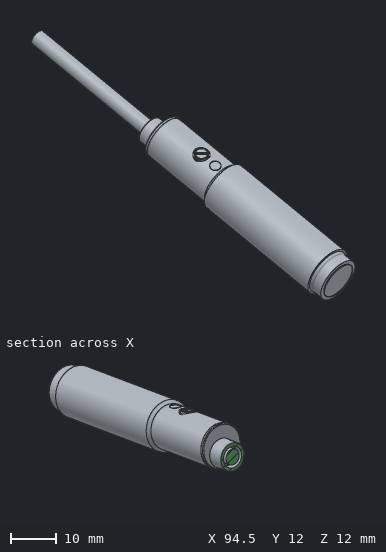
import cadquery as cq

GLAND_START = 35.2
CAP_START = 39.1
CAP_END = 39.85
BODY_END = 57.75
BARREL_START = 58.5
BARREL_END = 91.0
NOSE_START = 91.8
TOTAL_LENGTH = 94.5

CAP_DIAMETER = 10.45
BODY_DIAMETER = 10.5
BARREL_DIAMETER = 12.0
NOSE_DIAMETER = 10.6
BARREL_SHOULDER_DIAMETER = 11.0
CAP_CHAMFER = 0.2
NOSE_DISC_DIAMETER = 8.7
NOSE_DISC_HEIGHT = 0.2

CABLE_DIAMETER = 3.75
CABLE_DROP = 1.5
GLAND_TIP_DIAMETER = 6.6
GLAND_ROOT_DIAMETER = 6.75
GLAND_TIP_FILLET = 0.15
GLAND_BORE_DIAMETER = 4.9
GLAND_BORE_DEPTH = 2.0

SCREW_X = 51.5
SCREW_POCKET_DIAMETER = 3.75
SCREW_POCKET_DEPTH = 0.6
SCREW_POCKET_FLOOR_Z = BODY_DIAMETER / 2 - SCREW_POCKET_DEPTH
SCREW_DIAMETER = 3.0
SCREW_TOP_Z = 5.42
SCREW_CHAMFER = 0.15
SCREW_SLOT_WIDTH = 0.5
SCREW_SLOT_DEPTH = 0.3
SCREW_SLOT_ANGLE = 45.0

WINDOW_X = 55.85
WINDOW_DIAMETER = 2.5
WINDOW_Z = 5.05


def turned_body():
    """Cap, body, barrel, nose and end disc revolved about the X axis."""
    cap_radius = CAP_DIAMETER / 2
    body_radius = BODY_DIAMETER / 2
    barrel_radius = BARREL_DIAMETER / 2
    shoulder_radius = BARREL_SHOULDER_DIAMETER / 2
    nose_radius = NOSE_DIAMETER / 2
    disc_radius = NOSE_DISC_DIAMETER / 2
    nose_rim_x = TOTAL_LENGTH - NOSE_DISC_HEIGHT
    profile = [
        (CAP_START, 0),
        (CAP_START, cap_radius - CAP_CHAMFER),
        (CAP_START + CAP_CHAMFER, cap_radius),
        (CAP_END, cap_radius),
        (CAP_END, body_radius),
        (BODY_END, body_radius),
        (BARREL_START, barrel_radius),
        (BARREL_END, barrel_radius),
        (BARREL_END, shoulder_radius),
        (NOSE_START, nose_radius),
        (nose_rim_x, nose_radius),
        (nose_rim_x, disc_radius),
        (TOTAL_LENGTH, disc_radius),
        (TOTAL_LENGTH, 0),
    ]
    axis_end = (1, 0)
    return cq.Workplane("XY").polyline(profile).close().revolve(360, (0, 0), axis_end)


def cable_plane(x):
    """Plane across the cable axis at station x."""
    return cq.Workplane("YZ", origin=(x, 0, -CABLE_DROP))


def gland():
    """Tapered sleeve with a rounded tip and a bore around the cable."""
    length = CAP_START - GLAND_START
    sleeve = (
        cable_plane(GLAND_START)
        .circle(GLAND_TIP_DIAMETER / 2)
        .workplane(offset=length)
        .circle(GLAND_ROOT_DIAMETER / 2)
        .loft()
        .faces("<X")
        .edges()
        .fillet(GLAND_TIP_FILLET)
    )
    bore = cable_plane(GLAND_START).circle(GLAND_BORE_DIAMETER / 2).extrude(GLAND_BORE_DEPTH)
    return sleeve.cut(bore)


def cable():
    return cable_plane(0).circle(CABLE_DIAMETER / 2).extrude(CAP_START)


def upright_cylinder(x, diameter, bottom_z, top_z):
    """Vertical cylinder on the top centre line."""
    return cq.Workplane("XY", origin=(x, 0, bottom_z)).circle(diameter / 2).extrude(top_z - bottom_z)


def screw_pocket():
    return upright_cylinder(SCREW_X, SCREW_POCKET_DIAMETER, SCREW_POCKET_FLOOR_Z, BARREL_DIAMETER / 2)


def screw():
    """Chamfered screw head with a diagonal driver slot."""
    head = upright_cylinder(SCREW_X, SCREW_DIAMETER, SCREW_POCKET_FLOOR_Z, SCREW_TOP_Z)
    head = head.faces(">Z").edges().chamfer(SCREW_CHAMFER)
    slot = (
        cq.Workplane("XY", origin=(SCREW_X, 0, SCREW_TOP_Z - SCREW_SLOT_DEPTH))
        .transformed(rotate=(0, 0, SCREW_SLOT_ANGLE))
        .rect(SCREW_POCKET_DIAMETER, SCREW_SLOT_WIDTH)
        .extrude(SCREW_SLOT_DEPTH)
    )
    return head.cut(slot)


def window_recess():
    return upright_cylinder(WINDOW_X, WINDOW_DIAMETER, WINDOW_Z, BARREL_DIAMETER / 2)


housing = turned_body().cut(screw_pocket()).cut(window_recess())
result = housing.union(screw()).union(gland()).union(cable())